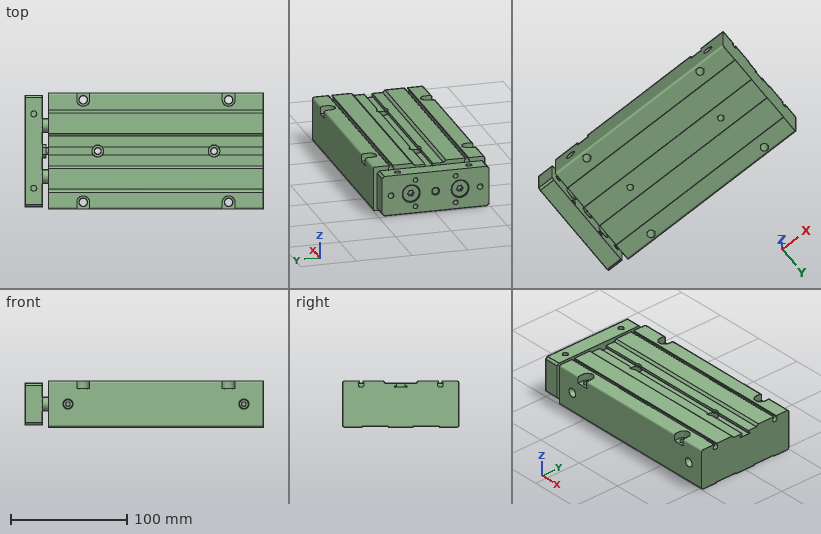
import cadquery as cq
import math


total_length = 205.0
plate_thickness = 15.0
rod_gap = 5.1
housing_start = plate_thickness + rod_gap
housing_length = total_length - housing_start
housing_width = 100.0
housing_height = 40.0
housing_top = housing_height / 2
housing_bottom = -housing_height / 2
housing_edge_radius = 2.0

channel_floor_width = 25.8
channel_top_width = 30.3
channel_depth = 2.0
center_groove_width = 7.2
center_groove_depth = 3.3
center_groove_lip = 2.5
center_groove_undercut_width = 10.7
sensor_slot_offset = 34.0
sensor_slot_diameter = 5.0
sensor_slot_neck_width = 2.9
sensor_slot_neck_depth = 1.0
relief_inner_offset = 10.7
relief_outer_offset = 33.2
relief_depth = 0.8

corner_hole_first = 50.0
corner_hole_spacing = 125.0
corner_hole_offset = 44.0
corner_hole_diameter = 7.0
corner_seat_width = 11.0
corner_seat_depth = 6.8
center_hole_first = 62.5
center_hole_spacing = 100.0
center_hole_diameter = 5.5
center_seat_diameter = 10.0
center_seat_depth = 11.0
port_inset = 16.8
port_mouth_diameter = 8.6
port_inner_diameter = 7.5
port_depth = 8.2
port_bore_diameter = 3.9
port_bore_depth = 16.5

plate_width = 96.0
plate_height = 36.0
plate_chamfer = 2.0
face_outer_hole_diameter = 5.0
face_inner_hole_diameter = 4.0
face_outer_hole_offset = 40.0
face_inner_hole_offset = 18.0
face_inner_hole_height = 12.0
top_hole_diameter = 5.1
top_hole_offset = 32.0
top_hole_depth = 10.0

rod_offset = 22.0
rod_diameter = 12.0
screw_recess_diameter = 16.0
screw_recess_floor_diameter = 14.5
screw_socket_flats = 5.0
screw_socket_depth = 4.0
bolt_diameter = 6.0
bolt_recess_diameter = 7.0
bolt_recess_floor_diameter = 5.5
nut_flats = 10.0
nut_thickness = 3.0


def box_between(x_range, y_range, z_range):
    """Box spanning the given (low, high) pairs."""
    lows, highs = zip(x_range, y_range, z_range)
    size = [high - low for low, high in zip(lows, highs)]
    return cq.Workplane("XY").box(*size, centered=False).translate(lows)


def cylinder_x(diameter, start, length, y=0.0, z=0.0):
    """Cylinder along +X from X = start."""
    return cq.Workplane("YZ", origin=(start, y, z)).circle(diameter / 2).extrude(length)


def cylinder_down(diameter, x, y, top, depth):
    """Cylinder from Z = top downward."""
    return cq.Workplane("XY", origin=(x, y, top)).circle(diameter / 2).extrude(-depth)


def hexagon_x(flats, start, length, y=0.0):
    """Hexagonal prism along +X with flats facing up and down."""
    corner_diameter = flats / math.cos(math.pi / 6)
    return cq.Workplane("YZ", origin=(start, y, 0)).polygon(6, corner_diameter).extrude(length)


housing_span = (housing_start, total_length)


def housing_block():
    middle_x = housing_start + housing_length / 2
    block = cq.Workplane("XY").box(housing_length, housing_width, housing_height)
    return block.edges("|X").fillet(housing_edge_radius).translate((middle_x, 0, 0))


def center_channel():
    """Shallow channel with sloped walls, plus the T-shaped groove in its floor."""
    floor = housing_top - channel_depth
    channel = (
        cq.Workplane("YZ", origin=(housing_start, 0, 0))
        .moveTo(-channel_top_width / 2, housing_top)
        .lineTo(-channel_floor_width / 2, floor)
        .lineTo(channel_floor_width / 2, floor)
        .lineTo(channel_top_width / 2, housing_top)
        .close()
        .extrude(housing_length)
    )
    return channel.union(center_groove(floor))


def center_groove(top):
    """T-shaped groove: a mouth between two lips and a wider undercut below them."""
    half_mouth = center_groove_width / 2
    half_undercut = center_groove_undercut_width / 2
    bottom = top - center_groove_depth
    mouth = box_between(housing_span, (-half_mouth, half_mouth), (bottom, housing_top))
    undercut = box_between(housing_span, (-half_undercut, half_undercut), (bottom, top - center_groove_lip))
    return mouth.union(undercut)


def sensor_slot(y):
    """Round slot that opens to the top face through a narrower neck."""
    half_neck = sensor_slot_neck_width / 2
    radius = sensor_slot_diameter / 2
    center_z = housing_top - sensor_slot_neck_depth - math.sqrt(radius**2 - half_neck**2)
    bore = cylinder_x(sensor_slot_diameter, housing_start, housing_length, y, center_z)
    neck = box_between(housing_span, (y - half_neck, y + half_neck), (center_z, housing_top))
    return bore.union(neck)


def bottom_relief(side):
    y_range = sorted((side * relief_inner_offset, side * relief_outer_offset))
    return box_between(housing_span, y_range, (housing_bottom, housing_bottom + relief_depth))


def corner_mount(x, side):
    """Through hole with a round-ended seat that opens to the side face."""
    y = side * corner_hole_offset
    hole = cylinder_down(corner_hole_diameter, x, y, housing_top, housing_height)
    seat = cylinder_down(corner_seat_width, x, y, housing_top, corner_seat_depth)
    half_seat = corner_seat_width / 2
    opening = box_between(
        (x - half_seat, x + half_seat),
        sorted((y, side * housing_width / 2)),
        (housing_top - corner_seat_depth, housing_top),
    )
    return hole.union(seat).union(opening)


def center_mount(x):
    hole = cylinder_down(center_hole_diameter, x, 0, housing_top, housing_height)
    seat = cylinder_down(center_seat_diameter, x, 0, housing_top, center_seat_depth)
    return hole.union(seat)


def port(x):
    """Tapered port in the -Y side with a smaller bore continuing from its floor."""
    front = cq.Workplane("XZ", origin=(x, -housing_width / 2, 0))
    taper_angle = math.degrees(math.atan((port_mouth_diameter - port_inner_diameter) / 2 / port_depth))
    taper = front.circle(port_mouth_diameter / 2).extrude(-port_depth, taper=taper_angle)
    bore = front.circle(port_bore_diameter / 2).extrude(-port_bore_depth)
    return taper.union(bore)


def make_housing():
    housing = housing_block().cut(center_channel())
    for side in (-1, 1):
        housing = housing.cut(sensor_slot(side * sensor_slot_offset))
        housing = housing.cut(bottom_relief(side))
        for x in (corner_hole_first, corner_hole_first + corner_hole_spacing):
            housing = housing.cut(corner_mount(x, side))
    for x in (center_hole_first, center_hole_first + center_hole_spacing):
        housing = housing.cut(center_mount(x))
    for x in (housing_start + port_inset, total_length - port_inset):
        housing = housing.cut(port(x))
    return housing


def plate_block():
    block = cq.Workplane("XY").box(plate_thickness, plate_width, plate_height)
    return block.edges("|X").chamfer(plate_chamfer).translate((plate_thickness / 2, 0, 0))


def countersunk_recess(mouth_diameter, floor_diameter, y):
    """Shallow recess in the plate's outer face with a 45 degree wall and a flat floor."""
    depth = (mouth_diameter - floor_diameter) / 2
    mouth = cq.Workplane("YZ", origin=(0, y, 0)).circle(mouth_diameter / 2)
    return mouth.extrude(depth, taper=45)


def face_holes(side):
    holes = cylinder_x(face_outer_hole_diameter, 0, plate_thickness, side * face_outer_hole_offset)
    for z in (-face_inner_hole_height, face_inner_hole_height):
        holes = holes.union(
            cylinder_x(face_inner_hole_diameter, 0, plate_thickness, side * face_inner_hole_offset, z)
        )
    return holes


def top_hole(side):
    y = side * top_hole_offset
    return cylinder_down(top_hole_diameter, plate_thickness / 2, y, plate_height / 2, top_hole_depth)


def make_rod_plate():
    plate = plate_block()
    for side in (-1, 1):
        rod_y = side * rod_offset
        plate = plate.cut(face_holes(side))
        plate = plate.cut(top_hole(side))
        plate = plate.cut(countersunk_recess(screw_recess_diameter, screw_recess_floor_diameter, rod_y))
        plate = plate.cut(hexagon_x(screw_socket_flats, 0, screw_socket_depth, rod_y))
        plate = plate.union(cylinder_x(rod_diameter, plate_thickness, rod_gap, rod_y))
    plate = plate.cut(countersunk_recess(bolt_recess_diameter, bolt_recess_floor_diameter, 0))
    plate = plate.union(hexagon_x(nut_flats, plate_thickness, nut_thickness))
    return plate.union(cylinder_x(bolt_diameter, plate_thickness, rod_gap))


housing = make_housing()
rod_plate = make_rod_plate()

result = cq.Compound.makeCompound([housing.val(), rod_plate.val()])